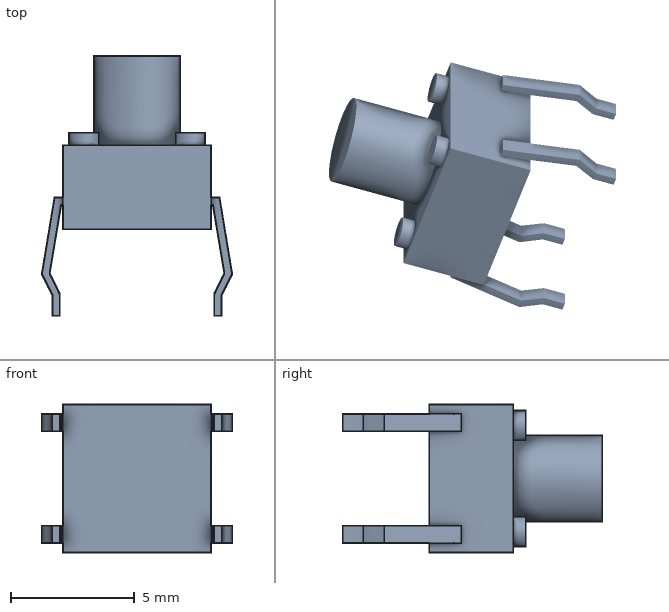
import cadquery as cq


housing_side = 6.0
housing_depth = 3.4

button_diameter = 3.5
button_length = 3.6

boss_diameter = 1.2
boss_height = 0.5
boss_offset = 2.15

overall_length = 10.5
overall_width = 7.7
leg_width = 0.7
leg_thickness = 0.3
leg_offset = 2.26
shoulder_top_y = 1.29
shoulder_out = 0.34
notch_out = 0.06
elbow_y = -1.81
elbow_inner_rise = 0.03
elbow_inner_out = 0.52
foot_start_y = -2.66
foot_inner_rise = 0.04
foot_out = 0.42

wall_x = housing_side / 2
elbow_out = (overall_width - housing_side) / 2
foot_end_y = housing_depth + button_length - overall_length


def make_disc(diameter, height):
    """Cylinder standing on the front face of the housing, on the switch axis."""
    front_face = cq.Workplane("XZ", origin=(0, housing_depth, 0))
    return front_face.circle(diameter / 2).extrude(-height)


def make_leg(side, z_center):
    """Cranked leg on the +X (side = 1) or -X (side = -1) wall."""
    shoulder_bottom_y = shoulder_top_y - leg_thickness
    foot_inner_out = foot_out - leg_thickness
    profile = [
        (0, shoulder_top_y),
        (shoulder_out, shoulder_top_y),
        (elbow_out, elbow_y),
        (foot_out, foot_start_y),
        (foot_out, foot_end_y),
        (foot_inner_out, foot_end_y),
        (foot_inner_out, foot_start_y + foot_inner_rise),
        (elbow_inner_out, elbow_y + elbow_inner_rise),
        (notch_out, shoulder_bottom_y),
        (0, shoulder_bottom_y),
    ]
    points = [(side * (wall_x + out), y) for out, y in profile]
    leg_plane = cq.Workplane("XY", origin=(0, 0, z_center))
    return leg_plane.polyline(points).close().extrude(leg_width / 2, both=True)


def make_housing():
    """Square block with four corner bosses and four legs."""
    back_face = cq.Workplane("XZ")
    housing = back_face.rect(housing_side, housing_side).extrude(-housing_depth)
    for x_side in (-1, 1):
        for z_side in (-1, 1):
            boss = make_disc(boss_diameter, boss_height)
            boss = boss.translate((x_side * boss_offset, 0, z_side * boss_offset))
            leg = make_leg(x_side, z_side * leg_offset)
            housing = housing.union(boss).union(leg)
    return housing


def make_button():
    """Round button resting on the front face of the housing."""
    return make_disc(button_diameter, button_length)


housing = make_housing()
button = make_button()

result = cq.Compound.makeCompound([housing.solids().val(), button.val()])